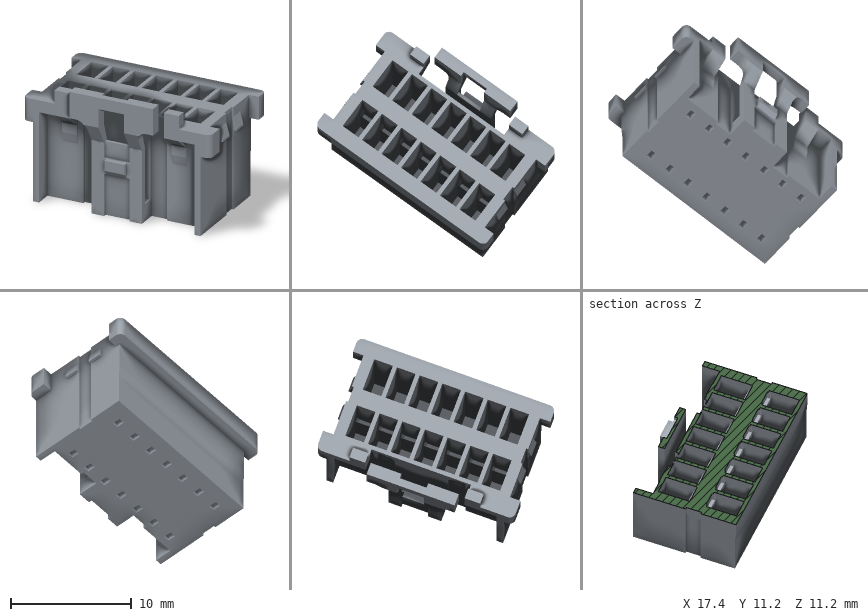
import cadquery as cq
import math


flange_width = 17.4
total_height = 11.15
total_depth = 11.2
latch_thickness = 1.03
flange_depth = total_depth - latch_thickness

body_width = 15.55
body_height = 9.27
body_upper_back = 9.22
body_lower_back = 9.14
back_taper_bottom = 3.22
back_taper_top = 4.35
flange_bottom = 7.19
front_flange_depth = 1.67
rear_flange_depth = 1.32
flange_corner_radius = 0.52

wall_front = 1.55
recess_width = 14.4
recess_height = 8.2
notch_width = 8.77
groove_back = 1.81

latch_width = 7.76
latch_bottom = 8.75
arm_width = 4.66
arm_thickness = 0.57
arm_fillet_radius = 0.94
slot_floor = 1.6
ramp_bottom = 6.68
ramp_top = 8.42

window_width = 2.37
window_top = 10.13
top_notch_depth = 0.4
pocket_depth = 0.3
nib_width = 1.88
nib_depth = 0.4
nib_edge_depth = 0.05
nib_bottom = 3.86
nib_ramp_top = 4.32
nib_top = 5.24

post_inner_x = notch_width / 2
post_width = 1.37
post_depth = 0.87
post_top = 10.5
bracket_front = 1.37
bracket_ramp_bottom = 7.05
bracket_face_bottom = 6.16
bracket_bottom = 5.29

side_groove_depth = 0.17
side_groove_front = 4.72
side_groove_back = 6.04
lug_length = 1.22
lug_projection = 0.3
lug_top = 8.45
lug_ramp_bottom = 7.36

cavity_count = 7
cavity_pitch = 2.0
cavity_width = 1.64
cavity_length = 2.77
front_row_y = 1.9
row_mirror_y = 5.38
cavity_floor = 1.05
shelf_depth = 0.3
shelf_height = 4.87
front_shelf_ramp_rise = 0.2
rear_shelf_ramp_rise = 1.08
shelf_middle_width = 1.22
pin_hole_width = 0.52
pin_hole_length = 0.71
front_pin_inset = 0.28
rear_pin_inset = 0.97


def block(x0, x1, y0, y1, z0, z1):
    """Box between two opposite corners."""
    return cq.Workplane("XY").box(x1 - x0, y1 - y0, z1 - z0, centered=False).translate((x0, y0, z0))


def centred_block(width, y0, y1, z0, z1):
    """Box centred on X = 0."""
    return block(-width / 2, width / 2, y0, y1, z0, z1)


def side_profile(points, x0, x1):
    """Closed (Y, Z) outline extruded along X from x0 to x1."""
    return cq.Workplane("YZ").polyline(points).close().extrude(x1 - x0).translate((x0, 0, 0))


def both_sides(shape):
    """A shape together with its mirror image about X = 0."""
    return shape.union(shape.mirror("YZ"))


def make_space_beside_arm(y0, y1):
    """Space on the +X side of the arm below the latch head, rounded where arm and head meet."""
    arm_side = arm_width / 2
    head_side = latch_width / 2
    fillet_bottom = latch_bottom - arm_fillet_radius
    arc_offset = arm_fillet_radius * (1 - math.sqrt(0.5))
    space = (
        cq.Workplane("XZ")
        .moveTo(arm_side, 0)
        .lineTo(arm_side, fillet_bottom)
        .threePointArc(
            (arm_side + arc_offset, latch_bottom - arc_offset),
            (arm_side + arm_fillet_radius, latch_bottom),
        )
        .lineTo(head_side, latch_bottom)
        .lineTo(head_side, 0)
        .close()
        .extrude(y0 - y1)
    )
    return space.translate((0, y0, 0))


def make_body():
    """Main block with its stepped back, flanges, front recess and side grooves."""
    half_width = body_width / 2
    back_outline = [
        (0, 0),
        (body_lower_back, 0),
        (body_lower_back, back_taper_bottom),
        (body_upper_back, back_taper_top),
        (body_upper_back, body_height),
        (0, body_height),
    ]
    core = side_profile(back_outline, -half_width, half_width)
    flange = centred_block(flange_width, 0, flange_depth, flange_bottom, body_height)
    flange = flange.edges("|Z").fillet(flange_corner_radius)
    for side in (-1, 1):
        gap_x = sorted((side * half_width, side * flange_width))
        gap_y = (front_flange_depth, flange_depth - rear_flange_depth)
        flange = flange.cut(block(*gap_x, *gap_y, 0, body_height))
    body = core.union(flange)
    body = body.cut(centred_block(recess_width, 0, wall_front, 0, recess_height))
    body = body.cut(centred_block(notch_width, 0, wall_front, 0, body_height))
    clearance = make_space_beside_arm(0, groove_back)
    side_groove = block(
        half_width - side_groove_depth, half_width, side_groove_front, side_groove_back, 0, body_height
    )
    return body.cut(both_sides(clearance)).cut(both_sides(side_groove))


def make_latch():
    """Cantilever arm with its flared head, window, pocket and locking nib."""
    arm_outline = [
        (0, 0),
        (0, ramp_bottom),
        (-latch_thickness, ramp_top),
        (-latch_thickness, total_height),
        (0, total_height),
        (0, ramp_top),
        (arm_thickness, ramp_bottom),
        (arm_thickness, slot_floor),
        (groove_back, slot_floor),
        (groove_back, 0),
    ]
    latch = side_profile(arm_outline, -latch_width / 2, latch_width / 2)

    latch = latch.cut(both_sides(make_space_beside_arm(-latch_thickness, groove_back)))

    latch = latch.cut(centred_block(window_width, -latch_thickness, arm_thickness, ramp_bottom, window_top))
    latch = latch.cut(centred_block(window_width, -top_notch_depth, 0, ramp_bottom, total_height))
    latch = latch.cut(centred_block(window_width, 0, pocket_depth, nib_top, ramp_bottom))
    latch = latch.cut(centred_block(window_width, 0, pocket_depth, 0, nib_bottom))
    nib_outline = [
        (0, nib_bottom),
        (-nib_edge_depth, nib_bottom),
        (-nib_depth, nib_ramp_top),
        (-nib_depth, nib_top),
        (0, nib_top),
    ]
    return latch.union(side_profile(nib_outline, -nib_width / 2, nib_width / 2))


def make_post():
    """Post on the front flange and the bracket that carries it."""
    x_range = (post_inner_x, post_inner_x + post_width)
    post = block(*x_range, 0, post_depth, recess_height, post_top)
    bracket_outline = [
        (0, recess_height),
        (bracket_front, bracket_ramp_bottom),
        (bracket_front, bracket_face_bottom),
        (wall_front, bracket_bottom),
        (wall_front, recess_height),
    ]
    return post.union(side_profile(bracket_outline, *x_range))


def make_lug(y0):
    """Wedge on the +X side, widest at its lower end."""
    base_x = body_width / 2
    tip_x = base_x + lug_projection
    outline = [
        (base_x, lug_top),
        (tip_x, lug_ramp_bottom),
        (tip_x, flange_bottom),
        (base_x, flange_bottom),
    ]
    wedge = cq.Workplane("XZ").polyline(outline).close().extrude(-lug_length)
    return wedge.translate((0, y0, 0))


def make_cavity(pin_inset, ramp_rise):
    """Front-row terminal cavity at X = 0; pin_inset is measured from its outer end."""
    inner_y = front_row_y + cavity_length
    shelf_y = inner_y - shelf_depth
    cavity = centred_block(cavity_width, front_row_y, inner_y, cavity_floor, body_height)
    shelf = centred_block(shelf_middle_width, shelf_y, inner_y, cavity_floor, shelf_height)
    ramp_outline = [
        (shelf_y, cavity_floor),
        (shelf_y, shelf_height),
        (inner_y, shelf_height + ramp_rise),
        (inner_y, cavity_floor),
    ]
    ramp = side_profile(ramp_outline, shelf_middle_width / 2, cavity_width / 2)
    hole_y = front_row_y + pin_inset
    pin_hole = centred_block(pin_hole_width, hole_y, hole_y + pin_hole_length, 0, cavity_floor)
    return cavity.cut(shelf).cut(both_sides(ramp)).union(pin_hole)


result = make_body().union(make_latch()).union(both_sides(make_post()))

for lug_y in (side_groove_front - lug_length, side_groove_back):
    result = result.union(both_sides(make_lug(lug_y)))

front_cavity = make_cavity(front_pin_inset, front_shelf_ramp_rise)
rear_cavity = make_cavity(rear_pin_inset, rear_shelf_ramp_rise)
rear_cavity = rear_cavity.mirror("XZ").translate((0, 2 * row_mirror_y, 0))
for index in range(cavity_count):
    cavity_x = (index - (cavity_count - 1) / 2) * cavity_pitch
    result = result.cut(front_cavity.translate((cavity_x, 0, 0)))
    result = result.cut(rear_cavity.translate((cavity_x, 0, 0)))